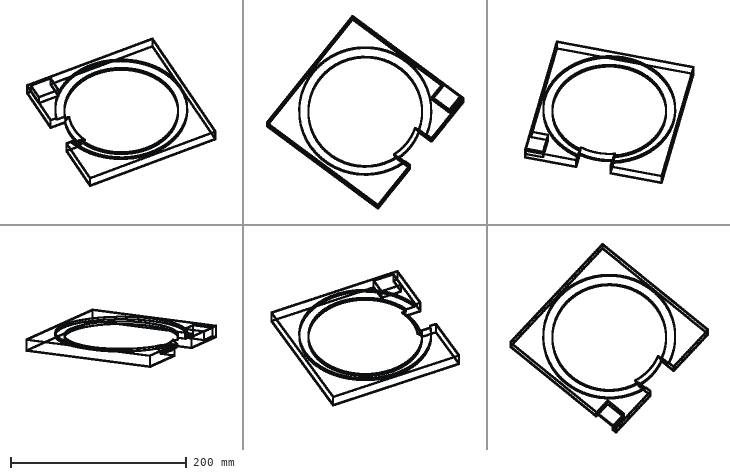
import cadquery as cq

side = 160.0
height = 13.0

ledge_radius = 75.4
ledge_depth = 2.9
floor_radius = 65.0
floor_height = 7.0

notch_width = 40.0
bevel = 5.0

pocket_length = 25.0
pocket_depth = 20.0
pocket_height = height - ledge_depth
pocket_front_wall = 5.0


def disc(radius, bottom, top):
    return cq.Workplane("XY").workplane(offset=bottom).circle(radius).extrude(top - bottom)


def make_plate():
    plate = cq.Workplane("XY").box(side, side, height, centered=(True, True, False))
    plate = plate.cut(disc(ledge_radius, height - ledge_depth, height))
    return plate.cut(disc(floor_radius, floor_height, height))


def make_notch():
    slot = cq.Workplane("XY").box(notch_width, side / 2, height, centered=(True, False, False))
    slot = slot.translate((0, -side / 2, 0))
    floor_disc = disc(floor_radius, 0, floor_height).faces(">Z").chamfer(bevel)
    return slot.cut(floor_disc)


def make_pocket():
    pocket = cq.Workplane("XY").box(pocket_depth, pocket_length, pocket_height, centered=False)
    return pocket.translate((-side / 2, -side / 2 + pocket_front_wall, 0))


result = make_plate().cut(make_notch()).cut(make_pocket())